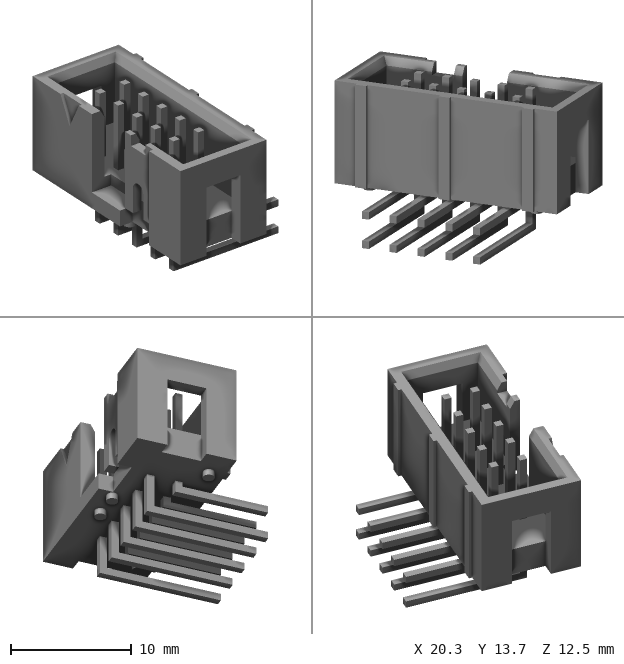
import cadquery as cq


length = 20.3
depth = 8.9
height = 8.9
floor_top = 2.55
end_wall = 1.2
side_wall = 1.3
lead_in = 0.4
lead_in_height = 0.7
front_y = -depth / 2
back_y = depth / 2
inner_front_y = front_y + side_wall
cavity_length = length - 2 * end_wall
cavity_depth = depth - 2 * side_wall

window_width = 3.5
window_top = 6.45

key_width = 4.06
key_bottom = 1.5
key_depth = 2.0

recess_left = 1.85
recess_right = 5.85
arm_setback = 0.4
arm_bottom = 1.68
arm_slot_width = 1.42
arm_slot_top = 4.73
arm_notch_width = 2.0
arm_notch_depth = 1.0

mark_width = 2.54
mark_height = 2.5
mark_depth = 0.3

pitch = 2.54
columns = 5
pin_size = 0.64
pin_top = 8.66
front_leg_bottom = -3.62
back_leg_bottom = front_leg_bottom + pitch
overall_depth = 13.7
leg_end_y = front_y + overall_depth

latch_x = 1.5 * pitch
mark_x = -2 * pitch

peg_diameter = 1.0
peg_height = 0.55
peg_row_y = 3.0
outer_peg_x = 3 * pitch
inner_peg_x = pitch / 2
rib_width = 1.0
rib_depth = 0.3
rib_x = 3 * pitch


def block(x_min, x_max, y_min, y_max, z_min, z_max):
    """Box given by its limits along each axis."""
    size = (x_max - x_min, y_max - y_min, z_max - z_min)
    return cq.Workplane("XY").box(*size, centered=False).translate((x_min, y_min, z_min))


def centred_block(x_mid, width, y_min, y_max, z_min, z_max):
    """Box centred on x_mid along X."""
    return block(x_mid - width / 2, x_mid + width / 2, y_min, y_max, z_min, z_max)


def make_cavity():
    """Mating cavity, flared at the mouth by a sloped lead-in."""
    cavity = centred_block(0, cavity_length, -cavity_depth / 2, cavity_depth / 2, floor_top, height)
    flare = (
        cq.Workplane("XY")
        .workplane(offset=height - lead_in_height)
        .rect(cavity_length, cavity_depth)
        .workplane(offset=lead_in_height)
        .rect(cavity_length + 2 * lead_in, cavity_depth + 2 * lead_in)
        .loft(ruled=True)
    )
    return cavity.union(flare)


def make_end_windows():
    """Openings through both end walls, running down past the floor ends."""
    half = window_width / 2
    left = block(-length / 2, -length / 2 + end_wall, -half, half, 0, window_top)
    return left.union(left.mirror("YZ"))


def make_latch_clearance():
    """Room in front of the latch arm and below it, reaching a little past its left edge."""
    front = block(recess_left, recess_right, front_y, front_y + arm_setback, 0, height)
    below = block(recess_left, recess_right, front_y, inner_front_y, 0, arm_bottom)
    return front.union(below)


def make_latch_cutouts():
    """Round-topped slot and top notch through the latch arm."""
    radius = arm_slot_width / 2
    arc_z = arm_slot_top - radius
    slot = (
        cq.Workplane("XZ", origin=(latch_x, inner_front_y, 0))
        .moveTo(-radius, 0)
        .lineTo(radius, 0)
        .lineTo(radius, arc_z)
        .threePointArc((0, arm_slot_top), (-radius, arc_z))
        .close()
        .extrude(side_wall)
    )
    notch = centred_block(latch_x, arm_notch_width, front_y, inner_front_y, height - arm_notch_depth, height)
    return slot.union(notch)


def make_pin_one_mark():
    """Shallow triangle pointing down from the top edge of the front face."""
    return (
        cq.Workplane("XZ", origin=(mark_x, front_y + mark_depth, height))
        .polyline([(-mark_width / 2, 0), (mark_width / 2, 0), (0, -mark_height)])
        .close()
        .extrude(mark_depth)
    )


def make_housing():
    """Housing with all its openings, plus the back ribs and the pegs."""
    housing = centred_block(0, length, front_y, back_y, 0, height)
    key_slot = centred_block(0, key_width, front_y, front_y + key_depth, key_bottom, height)
    for opening in (
        make_cavity(),
        make_end_windows(),
        key_slot,
        make_latch_clearance(),
        make_latch_cutouts(),
        make_pin_one_mark(),
    ):
        housing = housing.cut(opening)
    for x in (-rib_x, 0, rib_x):
        housing = housing.union(centred_block(x, rib_width, back_y, back_y + rib_depth, 0, height))
    peg_places = [
        (-outer_peg_x, peg_row_y),
        (outer_peg_x, peg_row_y),
        (-inner_peg_x, -peg_row_y),
        (inner_peg_x, -peg_row_y),
    ]
    pegs = cq.Workplane("XY").pushPoints(peg_places).circle(peg_diameter / 2).extrude(-peg_height)
    return housing.union(pegs)


def make_contact(x, y, leg_bottom):
    """Square pin that passes down through the floor and turns toward +Y."""
    half = pin_size / 2
    post = centred_block(x, pin_size, y - half, y + half, leg_bottom, pin_top)
    leg = centred_block(x, pin_size, y - half, leg_end_y, leg_bottom, leg_bottom + pin_size)
    return post.union(leg)


result = make_housing()
for column in range(columns):
    column_x = (column - (columns - 1) / 2) * pitch
    result = result.union(make_contact(column_x, -pitch / 2, front_leg_bottom))
    result = result.union(make_contact(column_x, pitch / 2, back_leg_bottom))